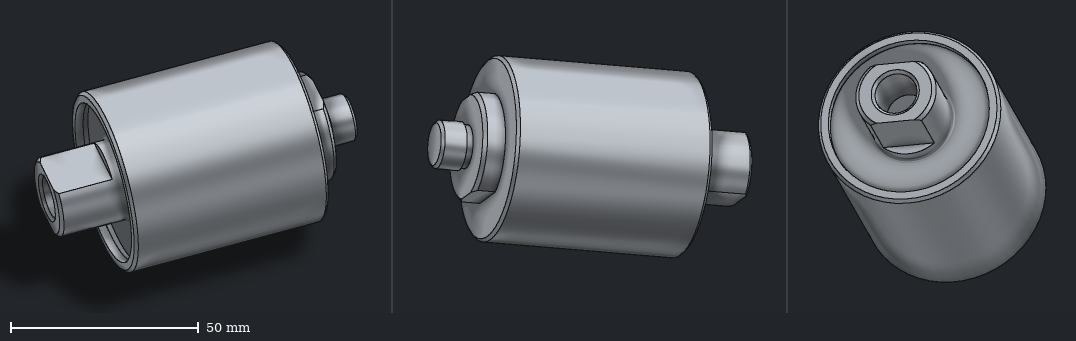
import cadquery as cq

shaft_length = 16.0
body_length = 55.0
collar_length = 6.0
total_length = 86.0
neck_length = 1.9

body_diameter = 50.0
lip_diameter = 44.0
groove_diameter = 45.6
shaft_diameter = 22.0
bore_diameter = 11.4
collar_diameter = 30.0
spigot_diameter = 13.2
neck_diameter = 11.8

recess_depth = 3.95
lip_depth = 2.3
shaft_root_fillet = 1.0
bore_depth = 15.0
edge_chamfer = 0.9
wide_chamfer = 1.0

shaft_flat_width = 17.0
shaft_flat_length = 16.0
collar_flat_width = 27.0

shaft_end = -total_length / 2
body_front = shaft_end + shaft_length
lip_back = body_front + lip_depth
recess_floor = body_front + recess_depth
body_back = body_front + body_length
collar_end = body_back + collar_length
neck_end = collar_end + neck_length
spigot_end = total_length / 2


def turned_profile():
    """Closed half section in the XY plane, drawn as radius along X against Y."""
    body_radius = body_diameter / 2
    groove_radius = groove_diameter / 2
    lip_radius = lip_diameter / 2
    shaft_radius = shaft_diameter / 2
    bore_radius = bore_diameter / 2
    collar_radius = collar_diameter / 2
    spigot_radius = spigot_diameter / 2
    neck_radius = neck_diameter / 2
    bore_floor = shaft_end + bore_depth
    return (
        cq.Workplane("XY")
        .moveTo(0, bore_floor)
        .lineTo(bore_radius, bore_floor)
        .lineTo(bore_radius, shaft_end + edge_chamfer)
        .lineTo(bore_radius + edge_chamfer, shaft_end)
        .lineTo(shaft_radius - wide_chamfer, shaft_end)
        .lineTo(shaft_radius, shaft_end + edge_chamfer)
        .lineTo(shaft_radius, recess_floor - shaft_root_fillet)
        .radiusArc((shaft_radius + shaft_root_fillet, recess_floor), shaft_root_fillet)
        .lineTo(groove_radius, recess_floor)
        .lineTo(groove_radius, lip_back)
        .lineTo(lip_radius, lip_back)
        .lineTo(lip_radius, body_front)
        .lineTo(body_radius - edge_chamfer, body_front)
        .lineTo(body_radius, body_front + edge_chamfer)
        .lineTo(body_radius, body_back - edge_chamfer)
        .lineTo(body_radius - edge_chamfer, body_back)
        .lineTo(collar_radius, body_back)
        .lineTo(collar_radius, collar_end - wide_chamfer)
        .lineTo(collar_radius - wide_chamfer, collar_end)
        .lineTo(neck_radius, collar_end)
        .lineTo(neck_radius, neck_end)
        .lineTo(spigot_radius, neck_end)
        .lineTo(spigot_radius, spigot_end - edge_chamfer)
        .lineTo(spigot_radius - edge_chamfer, spigot_end)
        .lineTo(0, spigot_end)
        .close()
    )


def cut_flats(part, diameter, width, start, length):
    """Cut two opposite flats, facing +Z and -Z, across a round section."""
    depth = (diameter - width) / 2
    for side in (1, -1):
        cutter = cq.Workplane("XY").box(diameter, length, depth)
        centre_z = side * (width + depth) / 2
        part = part.cut(cutter.translate((0, start + length / 2, centre_z)))
    return part


result = turned_profile().revolve(360, (0, 0, 0), (0, 1, 0))
result = cut_flats(result, shaft_diameter, shaft_flat_width, shaft_end, shaft_flat_length)
result = cut_flats(result, collar_diameter, collar_flat_width, body_back, collar_length)